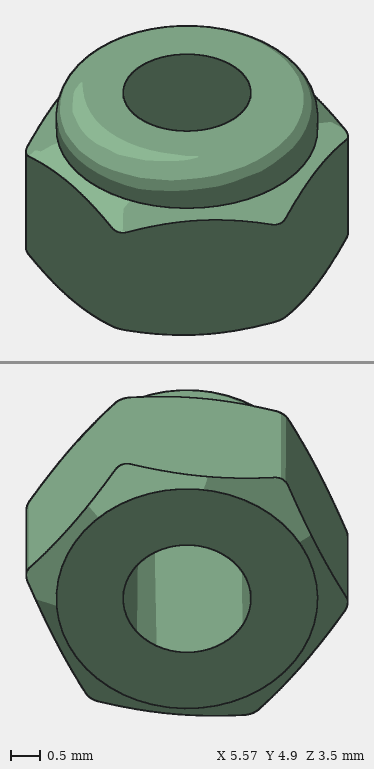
import cadquery as cq
import math

corner_width = 5.57
flat_width = 4.9
total_height = 3.5
hex_height = 2.7
collar_diameter = 4.5
collar_rounding = 0.5
bore_diameter = 2.2
chamfer_angle = 30.0

sharp_corner_width = flat_width / math.cos(math.radians(30))
corner_overshoot = (sharp_corner_width - corner_width) / 2
corner_radius = corner_overshoot / (1 / math.cos(math.radians(30)) - 1)
collar_radius = collar_diameter / 2
cone_outer_radius = sharp_corner_width / 2
cone_height = (cone_outer_radius - collar_radius) * math.tan(math.radians(chamfer_angle))


def rounded_hexagon():
    """Hexagonal prism with rounded vertical edges and two corners on the X axis."""
    prism = cq.Workplane("XY").polygon(6, sharp_corner_width).extrude(hex_height)
    return prism.edges("|Z").fillet(corner_radius)


def chamfer_envelope():
    """Turned blank whose conical ends cut the curved chamfers on the hexagon."""
    return (
        cq.Workplane("XZ")
        .moveTo(0, 0)
        .lineTo(collar_radius, 0)
        .lineTo(cone_outer_radius, cone_height)
        .lineTo(cone_outer_radius, hex_height - cone_height)
        .lineTo(collar_radius, hex_height)
        .lineTo(0, hex_height)
        .close()
        .revolve(360, (0, 0, 0), (0, 1, 0))
    )


def locking_collar():
    """Round collar above the hexagon with a rounded top rim."""
    collar = cq.Workplane("XY").circle(collar_radius).extrude(total_height)
    return collar.faces(">Z").edges().fillet(collar_rounding)


def bore():
    """Plain hole through the full height."""
    return cq.Workplane("XY").circle(bore_diameter / 2).extrude(total_height)


hexagon = rounded_hexagon().intersect(chamfer_envelope())
result = hexagon.union(locking_collar()).cut(bore())